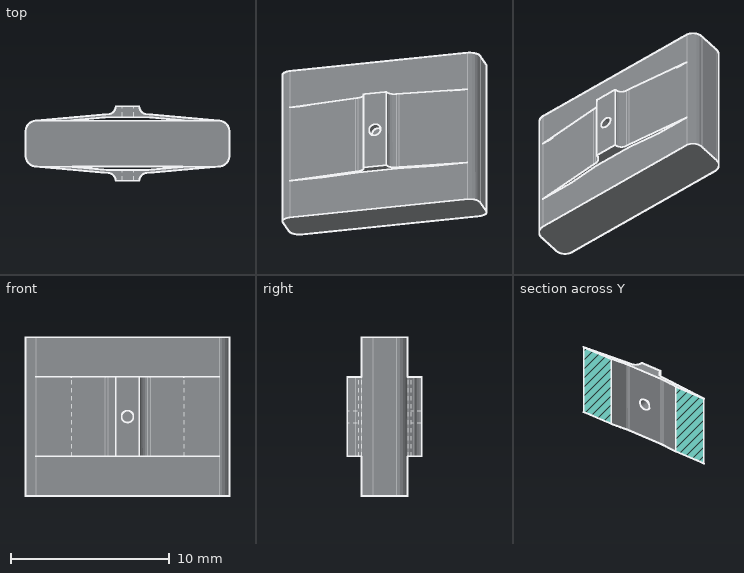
import cadquery as cq
import math

body_length = 12.85
body_depth = 2.9
body_height = 10.0
broad_face_length = 11.575

overall_depth = 4.7
strip_height = 5.0
strip_thickness = 0.2
bend_radius = 2.0
pad_width = 1.5
pad_fillet_radius = 0.5
hole_diameter = 0.75

body_half_length = body_length / 2
face_half_length = broad_face_length / 2
body_face_y = body_depth / 2
pad_half_width = pad_width / 2
pad_face_y = overall_depth / 2
crown_outer_y = pad_face_y - pad_fillet_radius
crown_inner_y = crown_outer_y - strip_thickness

bend_center_x = pad_half_width + pad_fillet_radius
bend_center_y = crown_outer_y - bend_radius
inner_bend_radius = bend_radius - strip_thickness

arm_run = face_half_length - bend_center_x
arm_reach_y = body_face_y - bend_center_y
arm_angle = math.asin(bend_radius / math.hypot(arm_run, arm_reach_y)) - math.atan2(arm_reach_y, arm_run)
inner_contact_x = face_half_length - strip_thickness / math.sin(arm_angle)

corner_radius = (body_half_length - face_half_length) / (1 - math.sin(arm_angle))
corner_center_x = body_half_length - corner_radius
corner_center_y = body_face_y - corner_radius * math.cos(arm_angle)


def point_on_arc(center_x, center_y, radius, angle):
    """Point at an angle measured from +Y towards +X."""
    return (center_x + radius * math.sin(angle), center_y + radius * math.cos(angle))


def make_body():
    """Block with four equal corner arcs, drawn as its +X half and mirrored."""
    arc_mid_angle = (arm_angle + math.pi / 2) / 2
    arc_mid_x, arc_mid_y = point_on_arc(corner_center_x, corner_center_y, corner_radius, arc_mid_angle)
    half_outline = (
        cq.Workplane("XY", origin=(0, 0, -body_height / 2))
        .moveTo(0, body_face_y)
        .lineTo(face_half_length, body_face_y)
        .threePointArc((arc_mid_x, arc_mid_y), (body_half_length, corner_center_y))
        .lineTo(body_half_length, -corner_center_y)
        .threePointArc((arc_mid_x, -arc_mid_y), (face_half_length, -body_face_y))
        .lineTo(0, -body_face_y)
    )
    return half_outline.mirrorY().extrude(body_height)


def bend_point(radius, angle):
    return point_on_arc(bend_center_x, bend_center_y, radius, angle)


def make_strip():
    """Strip on the +Y face: sloping arms, a raised pad and a gap beneath."""
    half_outline = (
        cq.Workplane("XY", origin=(0, 0, -strip_height / 2))
        .moveTo(0, pad_face_y)
        .lineTo(pad_half_width, pad_face_y)
        .radiusArc((bend_center_x, crown_outer_y), -pad_fillet_radius)
        .threePointArc(bend_point(bend_radius, arm_angle / 2), bend_point(bend_radius, arm_angle))
        .lineTo(face_half_length, body_face_y)
        .lineTo(inner_contact_x, body_face_y)
        .lineTo(*bend_point(inner_bend_radius, arm_angle))
        .threePointArc(bend_point(inner_bend_radius, arm_angle / 2), (bend_center_x, crown_inner_y))
        .lineTo(0, crown_inner_y)
    )
    return half_outline.mirrorY().extrude(strip_height)


def make_pad_hole():
    """Cutter from the pad face through the pad, ending at the body face."""
    hole_depth = pad_face_y - body_face_y
    cutter = cq.Workplane("XZ", origin=(0, pad_face_y, 0)).circle(hole_diameter / 2)
    return cutter.extrude(hole_depth)


strip = make_strip().cut(make_pad_hole())
result = make_body().union(strip).union(strip.mirror("XZ"))